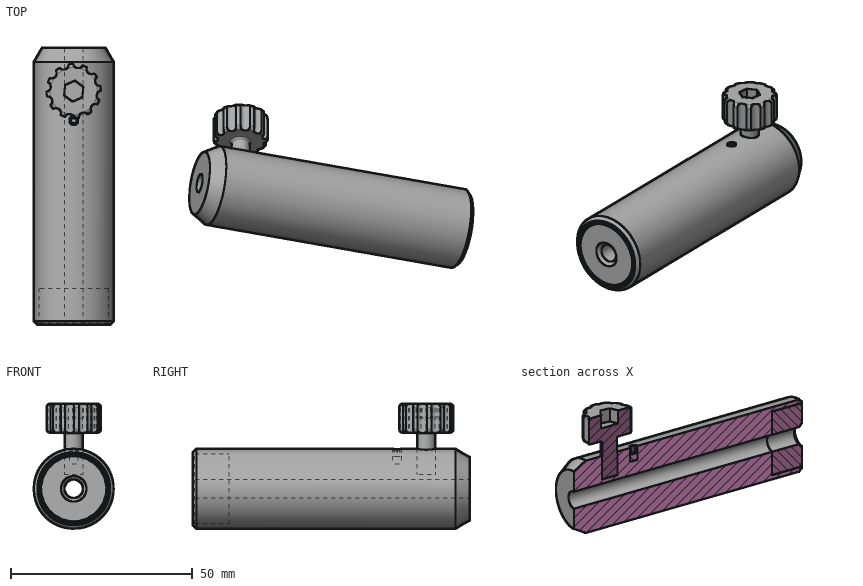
import cadquery as cq
import math

LENGTH = 76.2
BODY_DIAMETER = 22.0
BODY_R = BODY_DIAMETER / 2
FRONT_Y = -LENGTH / 2
REAR_Y = LENGTH / 2
FRONT_CHAMFER = 1.0
REAR_TAPER_LENGTH = 4.0
REAR_TAPER_ANGLE = 30.0
AXIAL_HOLE_R = 2.5

PLUG_R = 9.5
PLUG_LENGTH = 10.0
PLUG_CHAMFER = 0.5
PLUG_COUNTERSINK = 1.0

SCREW_Y = 26.1
KNOB_TOP_Z = 23.4
KNOB_HEIGHT = 8.0
KNOB_BOTTOM_Z = KNOB_TOP_Z - KNOB_HEIGHT
KNOB_R = 7.5
KNOB_ROUND = 1.0
FLUTE_COUNT = 12
FLUTE_R = 1.4
FLUTE_DEPTH = 1.1
FLUTE_START_ANGLE = 21.0
SHANK_R = 2.5
SHANK_ROUND = 0.5
SHANK_END_Z = 4.0
KNOB_SOCKET_FLATS = 5.0
KNOB_SOCKET_DEPTH = 4.0
KNOB_SOCKET_ANGLE = 24.0

SET_SCREW_Y = 18.05
SET_SCREW_R = 1.2
SET_SCREW_RECESS = 0.15
SET_SCREW_TOP_Z = BODY_R - SET_SCREW_RECESS
SET_SCREW_END_Z = 6.85
SET_SOCKET_FLATS = 1.5
SET_SOCKET_DEPTH = 2.0
SET_SOCKET_ANGLE = 10.0


def upright_cylinder(radius, y, z_low, z_high):
    return cq.Workplane("XY", origin=(0, y, z_low)).circle(radius).extrude(z_high - z_low)


def hex_socket(flats, depth, y, z_top, corner_angle):
    """Hexagonal prism hanging down from z_top, with one corner at corner_angle from +X."""
    corner_diameter = flats / math.cos(math.pi / 6)
    return (
        cq.Workplane("XY", origin=(0, y, z_top))
        .transformed(rotate=(0, 0, corner_angle))
        .polygon(6, corner_diameter)
        .extrude(-depth)
    )


def cylinder_along_y(radius, y_start, length):
    """Cylinder on the housing axis, running from y_start toward +Y."""
    return cq.Workplane("XZ", origin=(0, y_start, 0)).circle(radius).extrude(-length)


def make_housing():
    """Chamfered and tapered bar with its axial hole, plug recess and screw holes."""
    taper_drop = REAR_TAPER_LENGTH * math.tan(math.radians(REAR_TAPER_ANGLE))
    half_outline = [
        (0, FRONT_Y),
        (BODY_R - FRONT_CHAMFER, FRONT_Y),
        (BODY_R, FRONT_Y + FRONT_CHAMFER),
        (BODY_R, REAR_Y - REAR_TAPER_LENGTH),
        (BODY_R - taper_drop, REAR_Y),
        (0, REAR_Y),
    ]
    bar = cq.Workplane("XY").polyline(half_outline).close().revolve(360, (0, 0, 0), (0, 1, 0))
    return (
        bar.cut(cylinder_along_y(AXIAL_HOLE_R, FRONT_Y, LENGTH))
        .cut(cylinder_along_y(PLUG_R, FRONT_Y, PLUG_LENGTH))
        .cut(upright_cylinder(SHANK_R, SCREW_Y, SHANK_END_Z, BODY_R))
        .cut(upright_cylinder(SET_SCREW_R, SET_SCREW_Y, SET_SCREW_END_Z, BODY_R))
    )


def make_end_plug():
    """Plug with a chamfered front rim and a countersunk axial hole."""
    return (
        cylinder_along_y(PLUG_R, FRONT_Y, PLUG_LENGTH)
        .faces("<Y")
        .chamfer(PLUG_CHAMFER)
        .cut(cylinder_along_y(AXIAL_HOLE_R, FRONT_Y, PLUG_LENGTH))
        .faces("<Y")
        .edges(cq.selectors.RadiusNthSelector(0))
        .chamfer(PLUG_COUNTERSINK)
    )


def make_thumb_screw():
    """Fluted knob with a hexagonal socket, on a plain shank that enters the housing."""
    knob = upright_cylinder(KNOB_R, SCREW_Y, KNOB_BOTTOM_Z, KNOB_TOP_Z)
    knob = knob.faces("<Z or >Z").edges().fillet(KNOB_ROUND)
    flutes = (
        cq.Workplane("XY", origin=(0, SCREW_Y, KNOB_BOTTOM_Z))
        .polarArray(KNOB_R - FLUTE_DEPTH + FLUTE_R, FLUTE_START_ANGLE, 360, FLUTE_COUNT)
        .circle(FLUTE_R)
        .extrude(KNOB_HEIGHT)
    )
    shank = upright_cylinder(SHANK_R, SCREW_Y, SHANK_END_Z, KNOB_BOTTOM_Z)
    neck = cq.selectors.BoxSelector(
        (-SHANK_R, SCREW_Y - SHANK_R, KNOB_BOTTOM_Z - SHANK_ROUND),
        (SHANK_R, SCREW_Y + SHANK_R, KNOB_BOTTOM_Z + SHANK_ROUND),
    )
    socket = hex_socket(KNOB_SOCKET_FLATS, KNOB_SOCKET_DEPTH, SCREW_Y, KNOB_TOP_Z, KNOB_SOCKET_ANGLE)
    return knob.union(shank).edges(neck).fillet(SHANK_ROUND).cut(flutes).cut(socket)


def make_set_screw():
    """Plain cylinder with a hexagonal socket in its top."""
    socket = hex_socket(SET_SOCKET_FLATS, SET_SOCKET_DEPTH, SET_SCREW_Y, SET_SCREW_TOP_Z, SET_SOCKET_ANGLE)
    return upright_cylinder(SET_SCREW_R, SET_SCREW_Y, SET_SCREW_END_Z, SET_SCREW_TOP_Z).cut(socket)


housing = make_housing()
end_plug = make_end_plug()
thumb_screw = make_thumb_screw()
set_screw = make_set_screw()

result = cq.Compound.makeCompound(
    [housing.val(), end_plug.val(), thumb_screw.val(), set_screw.val()]
)